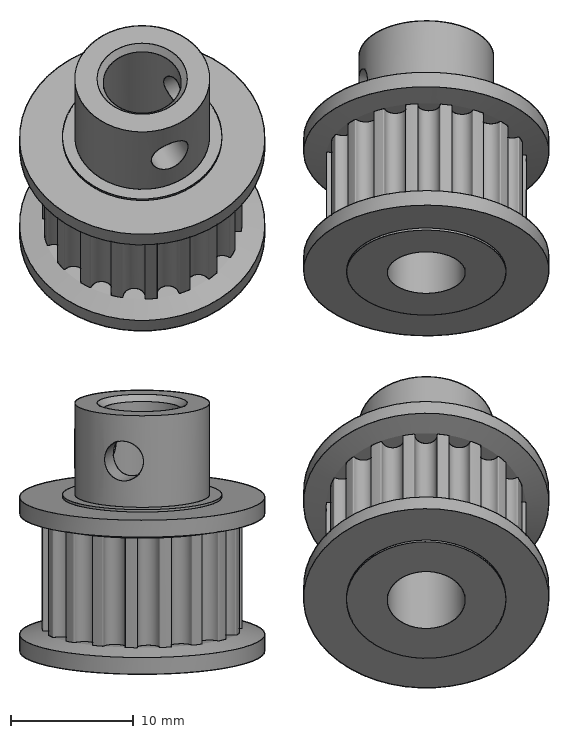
import cadquery as cq
import math

total_height = 20.8
hub_height = 7.6
body_height = total_height - hub_height

bore_diameter = 6.35
bore_chamfer = 0.5
hub_diameter = 11.0

flange_diameter = 20.0
flange_rim_thickness = 1.4
flange_cone_height = 0.45
lip_diameter = 13.0
lip_height = 0.2

tooth_count = 18
tooth_diameter = 16.3
groove_width = 1.8
groove_depth = 1.1
tooth_corner_radius = 0.1

screw_diameter = 3.3
screw_height = body_height + hub_height / 2

rim_top = lip_height + flange_rim_thickness
belt_bottom = rim_top + flange_cone_height
belt_width = body_height - 2 * belt_bottom


def make_flange():
    """Bottom flange with its lip, as a solid of revolution resting on Z = 0."""
    lip_radius = lip_diameter / 2
    flange_radius = flange_diameter / 2
    return (
        cq.Workplane("XZ")
        .moveTo(0, 0)
        .lineTo(lip_radius, 0)
        .lineTo(lip_radius, lip_height)
        .lineTo(flange_radius, lip_height)
        .lineTo(flange_radius, rim_top)
        .lineTo(tooth_diameter / 2, belt_bottom)
        .lineTo(0, belt_bottom)
        .close()
        .revolve(360, (0, 0, 0), (0, 1, 0))
    )


def make_groove():
    """Groove with a half-round bottom and rounded mouth corners, opening toward +X."""
    tooth_radius = tooth_diameter / 2
    half_width = groove_width / 2
    bottom_x = tooth_radius - groove_depth
    wall_start_x = bottom_x + half_width
    open_end_x = tooth_radius + groove_depth

    corner_y = half_width + tooth_corner_radius
    corner_distance = tooth_radius - tooth_corner_radius
    corner_angle = math.asin(corner_y / corner_distance)
    corner_x = corner_distance * math.cos(corner_angle)
    middle_angle = (corner_angle - math.pi / 2) / 2
    corner_middle_x = corner_x + tooth_corner_radius * math.cos(middle_angle)
    corner_middle_y = corner_y + tooth_corner_radius * math.sin(middle_angle)
    mouth_x = tooth_radius * math.cos(corner_angle)
    mouth_y = tooth_radius * math.sin(corner_angle)

    return (
        cq.Workplane("XY", origin=(0, 0, belt_bottom))
        .moveTo(open_end_x, -mouth_y)
        .lineTo(mouth_x, -mouth_y)
        .threePointArc((corner_middle_x, -corner_middle_y), (corner_x, -half_width))
        .lineTo(wall_start_x, -half_width)
        .threePointArc((bottom_x, 0), (wall_start_x, half_width))
        .lineTo(corner_x, half_width)
        .threePointArc((corner_middle_x, corner_middle_y), (mouth_x, mouth_y))
        .lineTo(open_end_x, mouth_y)
        .close()
        .extrude(belt_width)
    )


def make_toothed_belt_seat():
    """Cylinder between the flanges with a tooth centred on the X axis."""
    seat = (
        cq.Workplane("XY", origin=(0, 0, belt_bottom))
        .circle(tooth_diameter / 2)
        .extrude(belt_width)
    )
    groove = make_groove()
    tooth_angle = 360 / tooth_count
    for index in range(tooth_count):
        angle = tooth_angle / 2 + index * tooth_angle
        seat = seat.cut(groove.rotate((0, 0, 0), (0, 0, 1), angle))
    return seat


def make_hub():
    return (
        cq.Workplane("XY", origin=(0, 0, body_height))
        .circle(hub_diameter / 2)
        .extrude(hub_height)
    )


def make_bore():
    """Through bore widened by a chamfer at the top of the hub."""
    bore_radius = bore_diameter / 2
    return (
        cq.Workplane("XZ")
        .moveTo(0, 0)
        .lineTo(bore_radius, 0)
        .lineTo(bore_radius, total_height - bore_chamfer)
        .lineTo(bore_radius + bore_chamfer, total_height)
        .lineTo(0, total_height)
        .close()
        .revolve(360, (0, 0, 0), (0, 1, 0))
    )


def make_screw_hole(direction):
    """Radial hole from the axis out through one side of the hub."""
    start = cq.Vector(0, 0, screw_height)
    hole = cq.Solid.makeCylinder(screw_diameter / 2, hub_diameter, start, direction)
    return cq.Workplane(hole)


bottom_flange = make_flange()
top_flange = bottom_flange.mirror("XY", (0, 0, body_height / 2))

screw_directions = (cq.Vector(1, 0, 0), cq.Vector(0, 1, 0))

pulley = make_toothed_belt_seat().union(bottom_flange).union(top_flange).union(make_hub())
pulley = pulley.cut(make_bore())
for screw_direction in screw_directions:
    pulley = pulley.cut(make_screw_hole(screw_direction))

result = pulley